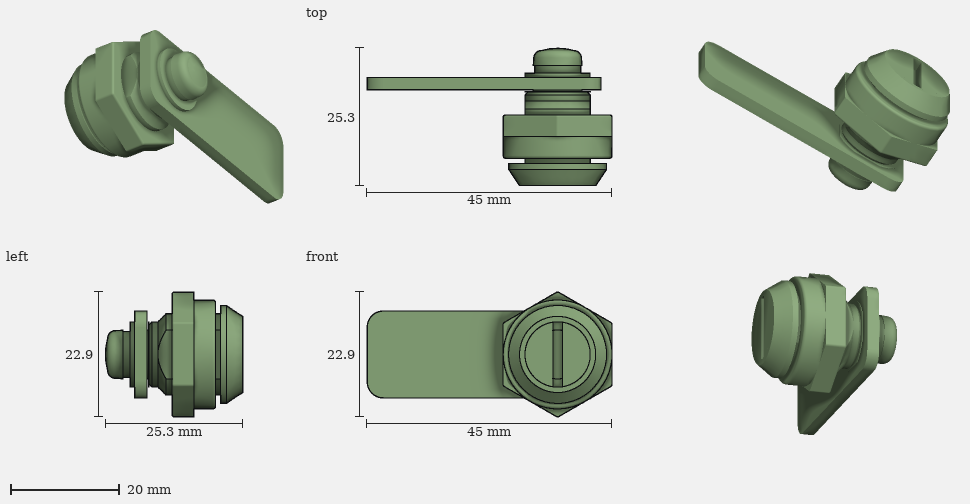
import cadquery as cq
import math


HEAD_CONE_LENGTH = 3.0
HEAD_BACK = 4.1
NUT_FRONT = 5.0
NUT_COLLAR_LENGTH = 4.0
NUT_HEX_LENGTH = 4.0
THREAD_END = 14.1
BARREL_END = 17.2
STOP_PLATE_THICKNESS = 0.1
CAM_FRONT = 17.6
CAM_THICKNESS = 2.3
WASHER_THICKNESS = 0.8
SCREW_NECK_LENGTH = 1.35
OVERALL_LENGTH = 25.27

NUT_HEX_FRONT = NUT_FRONT + NUT_COLLAR_LENGTH
NUT_BACK = NUT_HEX_FRONT + NUT_HEX_LENGTH
CAM_BACK = CAM_FRONT + CAM_THICKNESS
WASHER_BACK = CAM_BACK + WASHER_THICKNESS
SCREW_HEAD_FRONT = WASHER_BACK + SCREW_NECK_LENGTH

HEAD_RADIUS = 9.0
HEAD_FRONT_RADIUS = 7.0
THREAD_RADIUS = 7.5
BARREL_RADIUS = 6.0
BARREL_CHAMFER = 0.5
FLAT_SPACING = 2 * BARREL_RADIUS
BARREL_START = THREAD_END + (THREAD_RADIUS - BARREL_RADIUS)

NUT_ACROSS_FLATS = 20.0
NUT_COLLAR_FILLET = 0.5
NUT_CORNER_FILLET = 0.5
NUT_BACK_FILLET = 0.4

ROTOR_FACE_RADIUS = 6.0
ROTOR_SHAFT_RADIUS = 4.5
STOP_PLATE_SIZE = 12.0
STOP_PLATE_CORNER_RADIUS = 6.6
SLOT_WIDTH = 1.75
SLOT_DEPTH = 2.0

CAM_HEIGHT = 16.0
CAM_LEFT = -35.0
CAM_RIGHT = CAM_HEIGHT / 2
CAM_CORNER_RADIUS = 3.0

WASHER_RADIUS = 6.0
SCREW_SHANK_RADIUS = 2.5
SCREW_SHANK_START = 10.0
SCREW_NECK_RADIUS = 4.25
SCREW_HEAD_RADIUS = 4.5
SCREW_HEAD_TOP_RADIUS = 4.4
SCREW_HEAD_SIDE_LENGTH = 1.35
SCREW_HEAD_ROUNDING = 1.45


def plane_at(y):
    """Work plane at station y: local x is -X, local y is Z, and extrusions run toward +Y."""
    return cq.Workplane(cq.Plane(origin=(0, y, 0), xDir=(-1, 0, 0), normal=(0, 1, 0)))


def cylinder(radius, start, end):
    """Cylinder on the lock axis between two stations."""
    return plane_at(start).circle(radius).extrude(end - start)


def revolve(profile):
    """Turn a closed (radius, station) outline about the lock axis."""
    return profile.close().revolve(360, (0, 0, 0), (0, 1, 0))


def make_housing():
    """Conical head, threaded body with two flats, and a turned-down rear barrel."""
    head = revolve(
        cq.Workplane("XY")
        .moveTo(0, 0)
        .lineTo(HEAD_FRONT_RADIUS, 0)
        .lineTo(HEAD_RADIUS, HEAD_CONE_LENGTH)
        .lineTo(HEAD_RADIUS, HEAD_BACK)
        .lineTo(0, HEAD_BACK)
    )
    body = revolve(
        cq.Workplane("XY")
        .moveTo(0, HEAD_BACK)
        .lineTo(THREAD_RADIUS, HEAD_BACK)
        .lineTo(THREAD_RADIUS, THREAD_END)
        .lineTo(BARREL_RADIUS, BARREL_START)
        .lineTo(BARREL_RADIUS, BARREL_END)
        .lineTo(0, BARREL_END)
    )
    body = body.faces(">Y").edges().chamfer(BARREL_CHAMFER)
    between_flats = (
        plane_at(HEAD_BACK)
        .rect(FLAT_SPACING, 2 * THREAD_RADIUS)
        .extrude(BARREL_END - HEAD_BACK)
    )
    housing = head.union(body.intersect(between_flats))
    housing = housing.cut(cylinder(ROTOR_FACE_RADIUS, 0, SLOT_DEPTH))
    return housing.cut(cylinder(ROTOR_SHAFT_RADIUS, SLOT_DEPTH, BARREL_END))


def make_nut():
    """Hexagonal nut with corners up and down and a round collar on its front."""
    across_corners = NUT_ACROSS_FLATS / math.cos(math.pi / 6)
    hexagon = (
        plane_at(NUT_HEX_FRONT)
        .transformed(rotate=(0, 0, 30))
        .polygon(6, across_corners)
        .extrude(NUT_HEX_LENGTH)
        .edges("|Y")
        .fillet(NUT_CORNER_FILLET)
        .faces(">Y")
        .edges()
        .fillet(NUT_BACK_FILLET)
    )
    collar = cylinder(NUT_ACROSS_FLATS / 2, NUT_FRONT, NUT_HEX_FRONT)
    collar = collar.faces("<Y").edges().fillet(NUT_COLLAR_FILLET)
    return hexagon.union(collar).cut(cylinder(THREAD_RADIUS, NUT_FRONT, NUT_BACK))


def make_rotor():
    """Slotted face disc, shaft through the housing and cam, and a thin square plate behind the barrel."""
    rotor = cylinder(ROTOR_SHAFT_RADIUS, 0, CAM_BACK)
    rotor = rotor.union(cylinder(ROTOR_FACE_RADIUS, 0, SLOT_DEPTH))
    stop_plate = plane_at(BARREL_END).rect(STOP_PLATE_SIZE, STOP_PLATE_SIZE).extrude(STOP_PLATE_THICKNESS)
    stop_plate = stop_plate.intersect(
        cylinder(STOP_PLATE_CORNER_RADIUS, BARREL_END, BARREL_END + STOP_PLATE_THICKNESS)
    )
    rotor = rotor.union(stop_plate)
    slot = plane_at(0).rect(SLOT_WIDTH, 2 * ROTOR_FACE_RADIUS).extrude(SLOT_DEPTH)
    screw_hole = cylinder(SCREW_SHANK_RADIUS, SCREW_SHANK_START, CAM_BACK)
    return rotor.cut(slot).cut(screw_hole)


def make_cam():
    """Flat locking plate with rounded corners, reaching toward -X."""
    plate = cq.Workplane("XY").box(
        CAM_RIGHT - CAM_LEFT, CAM_THICKNESS, CAM_HEIGHT, centered=(False, False, True)
    )
    plate = plate.translate((CAM_LEFT, CAM_FRONT, 0)).edges("|Y").fillet(CAM_CORNER_RADIUS)
    return plate.cut(cylinder(ROTOR_SHAFT_RADIUS, CAM_FRONT, CAM_BACK))


def make_washer():
    """Plain washer between the cam and the screw."""
    washer = cylinder(WASHER_RADIUS, CAM_BACK, WASHER_BACK)
    return washer.cut(cylinder(SCREW_SHANK_RADIUS, CAM_BACK, WASHER_BACK))


def make_screw():
    """Screw with a short neck under a rounded head that ends in a shallow crown."""
    rounding_start = SCREW_HEAD_FRONT + SCREW_HEAD_SIDE_LENGTH
    rounding_center = SCREW_HEAD_TOP_RADIUS - SCREW_HEAD_ROUNDING
    diagonal = SCREW_HEAD_ROUNDING * math.sqrt(0.5)
    crown_edge = rounding_start + SCREW_HEAD_ROUNDING
    crown_height = OVERALL_LENGTH - crown_edge
    crown_radius = (rounding_center**2 + crown_height**2) / (2 * crown_height)
    crown_mid = rounding_center / 2
    crown_mid_y = OVERALL_LENGTH - crown_radius + math.sqrt(crown_radius**2 - crown_mid**2)
    return revolve(
        cq.Workplane("XY")
        .moveTo(0, SCREW_SHANK_START)
        .lineTo(SCREW_SHANK_RADIUS, SCREW_SHANK_START)
        .lineTo(SCREW_SHANK_RADIUS, WASHER_BACK)
        .lineTo(SCREW_NECK_RADIUS, WASHER_BACK)
        .lineTo(SCREW_NECK_RADIUS, SCREW_HEAD_FRONT)
        .lineTo(SCREW_HEAD_RADIUS, SCREW_HEAD_FRONT)
        .lineTo(SCREW_HEAD_TOP_RADIUS, rounding_start)
        .threePointArc(
            (rounding_center + diagonal, rounding_start + diagonal), (rounding_center, crown_edge)
        )
        .threePointArc((crown_mid, crown_mid_y), (0, OVERALL_LENGTH))
    )


housing = make_housing()
nut = make_nut()
rotor = make_rotor()
cam = make_cam()
washer = make_washer()
screw = make_screw()

result = cq.Compound.makeCompound(
    [body.solids().val() for body in (housing, nut, rotor, cam, washer, screw)]
)